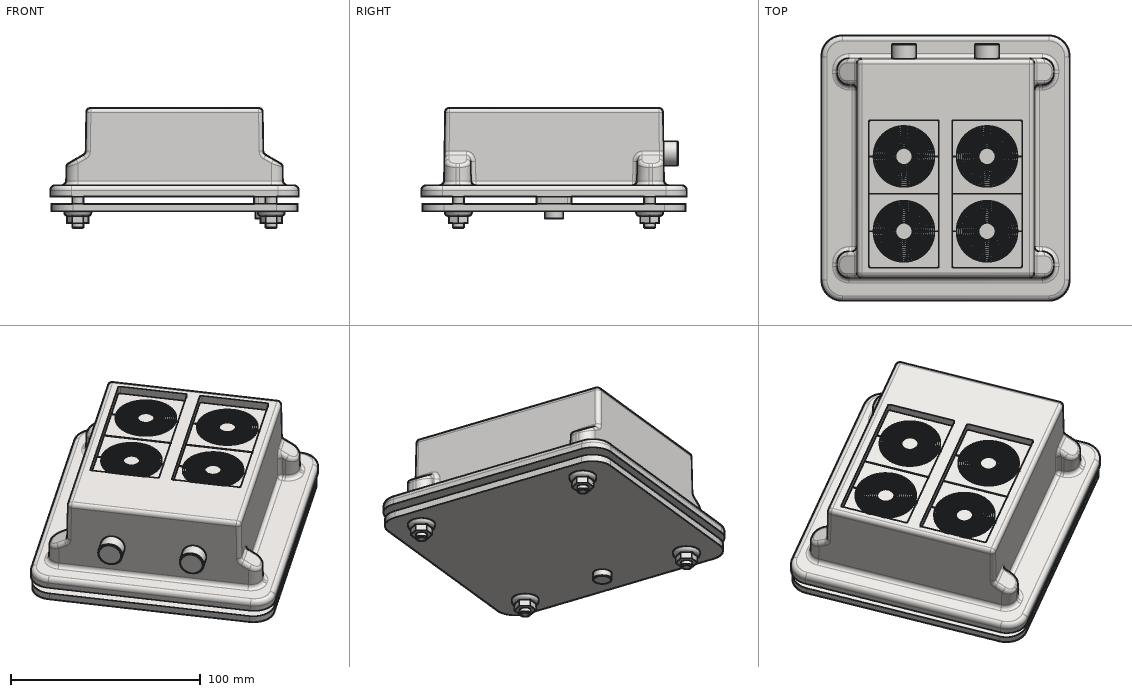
import cadquery as cq
import math


FLANGE_X = 131.0
FLANGE_Y = 140.0
FLANGE_THICKNESS = 6.0
FLANGE_CORNER_RADIUS = 11.2
FLANGE_EDGE_RADIUS = 2.8

HOUSING_TOP = 46.8
HOUSING_BASE_X = 94.4
HOUSING_BASE_Y = 116.2
DRAFT_ANGLE = 0.9
EDGE_RADIUS = 2.4

LUG_SPAN_X = 114.5
LUG_WIDTH = 14.4
LUG_CORNER_RADIUS = 6.3
LUG_SLOPE_ANGLE = 30.0
LUG_SLOPE_TOP = 22.5

MODULE_PITCH_X = 43.8
MODULE_PITCH_Y = 39.5
WINDOW_X = 37.0
WINDOW_Y = 77.8
WINDOW_CENTER_Y = -13.6
WINDOW_DEPTH = 4.5
WINDOW_CORNER_RADIUS = 1.0

SEAM_WIDTH = 0.1
SEAM_DEPTH = 0.3
CORE_DIAMETER = 9.1
OUTER_LAYER_DIAMETER = 32.0
LAYER_SEAMS = 12

STUB_DIAMETER = 13.0
STUB_END_Y = 65.5
STUB_Z = 22.7
STUB_CHAMFER = 0.5
STUB_ROOT_DEPTH = 2.2

PLATE_GAP = 3.9
PLATE_THICKNESS = 3.9
PLATE_INSET = 0.5

BOLT_X = 51.0
BOLT_Y = 50.4
BOLT_DIAMETER = 6.0
BOLT_BOTTOM = -16.8
BOLT_CHAMFER = 0.7
NUT_FLANGE_DIAMETER = 14.4
NUT_FLANGE_HEIGHT = 2.5
NUT_FLANGE_ROUNDING = 2.1
NUT_ACROSS_FLATS = 10.0
NUT_HEIGHT = 6.2

SPACER_X = 47.5
SPACER_SIZE_X = 11.2
SPACER_SIZE_Y = 18.5
SPACER_CORNER_RADIUS = 2.2
PIN_DIAMETER = 10.0
PIN_LENGTH = 3.9
PIN_CHAMFER = 0.4

PLATE_TOP = -PLATE_GAP
PLATE_BOTTOM = PLATE_TOP - PLATE_THICKNESS
WALL_HEIGHT = HOUSING_TOP - FLANGE_THICKNESS

LUG_MID_HEIGHT = 15.4
MARGIN = 0.1


def rounded_plate(size_x, size_y, bottom, thickness, corner_radius):
    plate = cq.Workplane("XY", origin=(0, 0, bottom)).rect(size_x, size_y).extrude(thickness)
    return plate.edges("|Z").fillet(corner_radius)


def cylinder(x, y, bottom, top, diameter):
    return cq.Workplane("XY", origin=(x, y, bottom)).circle(diameter / 2).extrude(top - bottom)


def lug_pair(side):
    """A strip flush with one end wall, sloping down past each long wall to form two lugs."""
    strip_center_y = side * (HOUSING_BASE_Y - LUG_WIDTH) / 2
    outline = cq.Sketch().rect(LUG_SPAN_X, LUG_WIDTH).vertices().fillet(LUG_CORNER_RADIUS)
    strip = (
        cq.Workplane("XY", origin=(0, strip_center_y, FLANGE_THICKNESS))
        .placeSketch(outline).extrude(WALL_HEIGHT, taper=DRAFT_ANGLE)
    )
    wall_x = HOUSING_BASE_X / 2
    slope = math.tan(math.radians(LUG_SLOPE_ANGLE))
    low_edge = LUG_SLOPE_TOP - (LUG_SPAN_X / 2 - wall_x) * slope
    ridge = LUG_SLOPE_TOP + wall_x * slope
    roof = (
        cq.Workplane("XZ", origin=(0, FLANGE_Y / 2, 0))
        .moveTo(-LUG_SPAN_X / 2, FLANGE_THICKNESS)
        .lineTo(LUG_SPAN_X / 2, FLANGE_THICKNESS)
        .lineTo(LUG_SPAN_X / 2, low_edge)
        .lineTo(0, ridge)
        .lineTo(-LUG_SPAN_X / 2, low_edge)
        .close().extrude(FLANGE_Y)
    )
    return strip.intersect(roof)


def make_housing():
    housing = (
        cq.Workplane("XY", origin=(0, 0, FLANGE_THICKNESS))
        .rect(HOUSING_BASE_X, HOUSING_BASE_Y).extrude(WALL_HEIGHT, taper=DRAFT_ANGLE)
    )
    for side in (-1, 1):
        housing = housing.union(lug_pair(side))
    return housing.clean()


def edges_in_box(part, half_x, half_y, bottom, top, whole=False):
    """Edges centred in a box around the Z axis, or lying wholly inside it."""
    box = cq.selectors.BoxSelector(
        (-half_x, -half_y, bottom), (half_x, half_y, top), boundingbox=whole
    )
    return part.edges(box)


def round_housing(housing):
    """Round the crests of walls and lugs and the corners where lugs meet the side walls."""
    crests = edges_in_box(housing, LUG_SPAN_X, HOUSING_BASE_Y, LUG_MID_HEIGHT, HOUSING_TOP + MARGIN)
    inner_corners = edges_in_box(
        housing, HOUSING_BASE_X / 2, HOUSING_BASE_Y / 2, FLANGE_THICKNESS + MARGIN, LUG_MID_HEIGHT
    )
    return housing.newObject(crests.vals() + inner_corners.vals()).fillet(EDGE_RADIUS)


def make_cover():
    """Flange and housing in one piece, with a rounded foot between them."""
    flange = rounded_plate(FLANGE_X, FLANGE_Y, 0, FLANGE_THICKNESS, FLANGE_CORNER_RADIUS)
    flange = flange.faces(">Z").edges().fillet(FLANGE_EDGE_RADIUS)
    cover = flange.union(round_housing(make_housing()))
    foot_edges = edges_in_box(
        cover, LUG_SPAN_X / 2 + MARGIN, HOUSING_BASE_Y / 2 + MARGIN,
        FLANGE_THICKNESS - MARGIN, FLANGE_THICKNESS + MARGIN, whole=True,
    )
    return foot_edges.fillet(EDGE_RADIUS)


def cut_windows(cover):
    """Sink the two windows, then score the seams of the modules in their floors."""
    floor = HOUSING_TOP - WINDOW_DEPTH
    seam_bottom = floor - SEAM_DEPTH
    layer_step = (OUTER_LAYER_DIAMETER - CORE_DIAMETER) / (LAYER_SEAMS - 1)

    for window_x in (-MODULE_PITCH_X / 2, MODULE_PITCH_X / 2):
        window = (
            cq.Workplane("XY", origin=(window_x, WINDOW_CENTER_Y, floor))
            .rect(WINDOW_X, WINDOW_Y).extrude(WINDOW_DEPTH)
            .edges("|Z").fillet(WINDOW_CORNER_RADIUS)
        )
        divider = (
            cq.Workplane("XY", origin=(window_x, WINDOW_CENTER_Y, seam_bottom))
            .rect(WINDOW_X, SEAM_WIDTH).extrude(SEAM_DEPTH)
        )
        cover = cover.cut(window).cut(divider)

        for center_y in (
            WINDOW_CENTER_Y - MODULE_PITCH_Y / 2,
            WINDOW_CENTER_Y + MODULE_PITCH_Y / 2,
        ):
            seam_plane = cq.Workplane("XY", origin=(window_x, center_y, seam_bottom))
            split = (
                seam_plane.rect(WINDOW_X, SEAM_WIDTH).extrude(SEAM_DEPTH)
                .cut(seam_plane.circle(OUTER_LAYER_DIAMETER / 2).extrude(SEAM_DEPTH))
            )
            cover = cover.cut(split)
            for layer in range(LAYER_SEAMS):
                radius = (CORE_DIAMETER + layer * layer_step) / 2
                ring = (
                    seam_plane.circle(radius + SEAM_WIDTH / 2).circle(radius - SEAM_WIDTH / 2)
                    .extrude(SEAM_DEPTH)
                )
                cover = cover.cut(ring)
    return cover


def pipe_stub(x):
    root_y = HOUSING_BASE_Y / 2 - STUB_ROOT_DEPTH
    stub = (
        cq.Workplane("XZ", origin=(x, STUB_END_Y, STUB_Z))
        .circle(STUB_DIAMETER / 2).extrude(STUB_END_Y - root_y)
    )
    return stub.faces(">Y").edges().chamfer(STUB_CHAMFER)


def bolt_with_nut(x, y):
    """Bolt from the flange down through the plate, with a flanged hexagon nut under the plate."""
    bolt = cylinder(x, y, BOLT_BOTTOM, FLANGE_THICKNESS / 2, BOLT_DIAMETER)
    bolt = bolt.faces("<Z").edges().chamfer(BOLT_CHAMFER)
    rim = cylinder(x, y, PLATE_BOTTOM - NUT_FLANGE_HEIGHT, PLATE_BOTTOM, NUT_FLANGE_DIAMETER)
    rim = rim.faces("<Z").edges().fillet(NUT_FLANGE_ROUNDING)
    across_corners = NUT_ACROSS_FLATS / math.cos(math.pi / 6)
    hexagon = (
        cq.Workplane("XY", origin=(x, y, PLATE_BOTTOM - NUT_HEIGHT))
        .polygon(6, across_corners).extrude(NUT_HEIGHT)
    )
    return bolt.union(rim).union(hexagon)


def spacer_with_pin():
    spacer = (
        cq.Workplane("XY", origin=(SPACER_X, 0, PLATE_TOP))
        .rect(SPACER_SIZE_X, SPACER_SIZE_Y).extrude(PLATE_GAP)
        .edges("|Z").fillet(SPACER_CORNER_RADIUS)
    )
    pin = cylinder(SPACER_X, 0, PLATE_BOTTOM - PIN_LENGTH, PLATE_TOP, PIN_DIAMETER)
    return spacer.union(pin.faces("<Z").edges().chamfer(PIN_CHAMFER))


result = cut_windows(make_cover())

for stub_x in (-MODULE_PITCH_X / 2, MODULE_PITCH_X / 2):
    result = result.union(pipe_stub(stub_x))

result = result.union(rounded_plate(
    FLANGE_X - 2 * PLATE_INSET, FLANGE_Y - 2 * PLATE_INSET,
    PLATE_BOTTOM, PLATE_THICKNESS, FLANGE_CORNER_RADIUS,
))
result = result.union(spacer_with_pin())

for bolt_x in (-BOLT_X, BOLT_X):
    for bolt_y in (-BOLT_Y, BOLT_Y):
        result = result.union(bolt_with_nut(bolt_x, bolt_y))